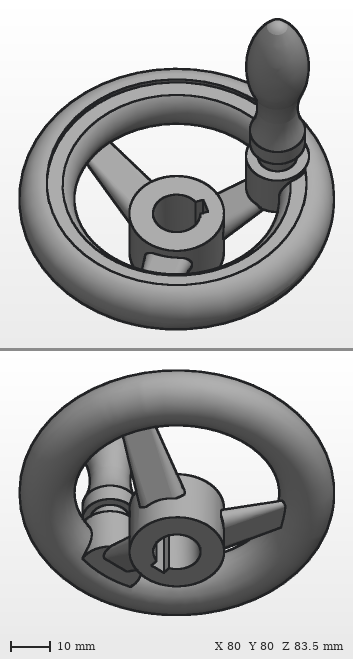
import cadquery as cq
import math

TUBE_RADIUS = 7.0
RING_RADIUS = 33.0
RIM_MID_Z = 21.95
STEP_INNER_RADIUS = 29.0

HUB_RADIUS = 12.0
HUB_HEIGHT = 16.0
BORE_RADIUS = 6.0
KEYWAY_WIDTH = 4.0
KEYWAY_REACH = 7.8

SPOKE_ANGLES = (90, 210, 330)
SPOKE_FLAT_WIDTH = 6.7
SPOKE_INNER_REACH = 10
SPOKE_OUTER_REACH = 30.05
SPOKE_INNER_Z = 9.35
SPOKE_OUTER_Z = 20.2
SPOKE_INNER_EDGE_RADIUS = 2.8
SPOKE_OUTER_EDGE_RADIUS = 0.75

HANDLE_OFFSET = 27.0
BOSS_RADIUS = 8.0
BOSS_BOTTOM = 15.9
BOSS_TOP = RIM_MID_Z + TUBE_RADIUS

SHANK_RADIUS = 5
COLLAR_RADIUS = 7.0
COLLAR_BOTTOM = 34.6
COLLAR_TOP = 39.6
NECK_RADIUS = 5.2
NECK_Z = 48.7
GRIP_START_RADIUS = 6.1
GRIP_START_Z = 55.85
BELLY_RADIUS = 8.0
BELLY_Z = 66.8
TIP_RADIUS = 2.6
TIP_Z = 82.4
HANDLE_TOP = 83.5


def make_rim():
    tube = cq.Workplane("XZ").center(RING_RADIUS, RIM_MID_Z).circle(TUBE_RADIUS)
    torus = tube.revolve(360, (-RING_RADIUS, 0), (-RING_RADIUS, 1))
    step_rise = math.sqrt(TUBE_RADIUS**2 - (RING_RADIUS - STEP_INNER_RADIUS)**2)
    step = (
        cq.Workplane("XY")
        .workplane(offset=RIM_MID_Z + step_rise)
        .circle(RING_RADIUS)
        .extrude(TUBE_RADIUS)
    )
    return torus.cut(step)


def make_spoke(angle):
    run = SPOKE_OUTER_REACH - SPOKE_INNER_REACH
    rise = SPOKE_OUTER_Z - SPOKE_INNER_Z

    def section(reach, z, edge_radius):
        plane = cq.Plane(origin=(reach, 0, z), xDir=(0, 1, 0), normal=(run, 0, rise))
        length = SPOKE_FLAT_WIDTH + 2 * edge_radius
        return cq.Workplane(plane).slot2D(length, 2 * edge_radius).wires().val()

    inner = section(SPOKE_INNER_REACH, SPOKE_INNER_Z, SPOKE_INNER_EDGE_RADIUS)
    outer = section(SPOKE_OUTER_REACH, SPOKE_OUTER_Z, SPOKE_OUTER_EDGE_RADIUS)
    spoke = cq.Solid.makeLoft([inner, outer], True)
    return cq.Workplane(spoke).rotate((0, 0, 0), (0, 0, 1), angle)


def arc_midpoint(vertex, end):
    """Middle point of an arc that is vertical at `vertex` and passes through `end`."""
    dr = end[0] - vertex[0]
    dz = end[1] - vertex[1]
    radius = (dr**2 + dz**2) / (2 * dr)
    half_angle = math.asin(dz / radius) / 2
    return (
        vertex[0] + radius * (1 - math.cos(half_angle)),
        vertex[1] + radius * math.sin(half_angle),
    )


def make_handle():
    collar_edge = (COLLAR_RADIUS, COLLAR_TOP)
    neck = (NECK_RADIUS, NECK_Z)
    grip_start = (GRIP_START_RADIUS, GRIP_START_Z)
    tip_edge = (TIP_RADIUS, TIP_Z)
    cap_height = HANDLE_TOP - TIP_Z
    cap_sphere = (TIP_RADIUS**2 + cap_height**2) / (2 * cap_height)
    cap_half_angle = math.asin(TIP_RADIUS / cap_sphere) / 2
    cap_mid = (
        cap_sphere * math.sin(cap_half_angle),
        HANDLE_TOP - cap_sphere * (1 - math.cos(cap_half_angle)),
    )
    profile = (
        cq.Workplane("XZ")
        .moveTo(0, RIM_MID_Z)
        .lineTo(SHANK_RADIUS, RIM_MID_Z)
        .lineTo(SHANK_RADIUS, COLLAR_BOTTOM)
        .lineTo(COLLAR_RADIUS, COLLAR_BOTTOM)
        .lineTo(*collar_edge)
        .threePointArc(arc_midpoint(neck, collar_edge), neck)
        .threePointArc(arc_midpoint(neck, grip_start), grip_start)
        .threePointArc((BELLY_RADIUS, BELLY_Z), tip_edge)
        .threePointArc(cap_mid, (0, HANDLE_TOP))
        .close()
    )
    return profile.revolve(360, (0, 0), (0, 1)).translate((0, HANDLE_OFFSET, 0))


def make_bore():
    bore = cq.Workplane("XY").circle(BORE_RADIUS).extrude(HUB_HEIGHT)
    keyway = (
        cq.Workplane("XY")
        .center(0, KEYWAY_REACH / 2)
        .rect(KEYWAY_WIDTH, KEYWAY_REACH)
        .extrude(HUB_HEIGHT)
    )
    return bore.union(keyway)


hub = cq.Workplane("XY").circle(HUB_RADIUS).extrude(HUB_HEIGHT)
boss = (
    cq.Workplane("XY")
    .workplane(offset=BOSS_BOTTOM)
    .center(0, HANDLE_OFFSET)
    .circle(BOSS_RADIUS)
    .extrude(BOSS_TOP - BOSS_BOTTOM)
)

result = make_rim().union(hub)
for spoke_angle in SPOKE_ANGLES:
    result = result.union(make_spoke(spoke_angle))
result = result.union(boss).union(make_handle()).cut(make_bore())